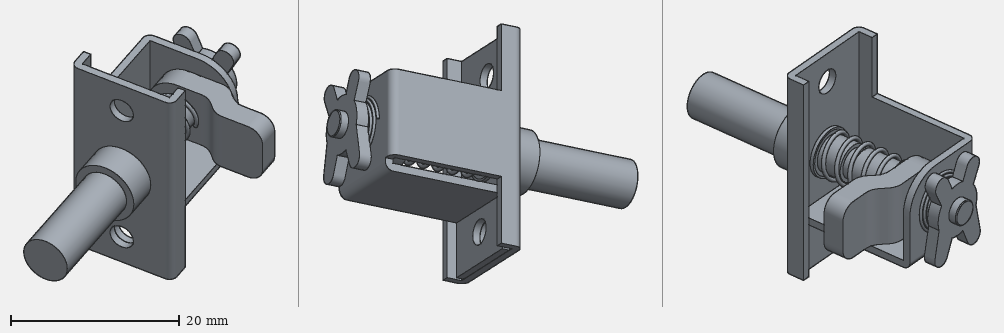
import cadquery as cq
import math


SHEET = 1.0
BRACKET_WIDTH = 14.0
BRACKET_HEIGHT = 28.0
BRACKET_DEPTH = 18.0
LIP_DEPTH = 3.0
BEND_RADIUS = 1.0
ARM_HEIGHT = 10.95
BACK_CORNER_RADIUS = 5.0
FLOOR_TOP = -6.0
TAB_CLEARANCE = 0.05
MOUNT_HOLE_DIAMETER = 3.2
MOUNT_HOLE_SPACING = 20.0

BUSHING_DIAMETER = 8.0
BUSHING_NOSE = 4.0
NECK_DIAMETER = 6.55
NECK_PROTRUSION = 0.5

PLUNGER_DIAMETER = 6.0
PLUNGER_NOSE = 18.0
STEM_DIAMETER = 5.0
GROOVE_DIAMETER = 4.0
GROOVE_START = 4.95
GROOVE_WIDTH = 1.55
COLLAR_WIDTH = 1.0
TAIL_DIAMETER = 3.3
TAIL_END = 22.0
TAIL_CHAMFER = 0.1

LEVER_WIDTH = 8.0
LEVER_THICKNESS = 2.9
LEVER_REACH = 13.0
LEVER_OFFSET = 2.15
LEVER_BEND_CENTER = 5.95
LEVER_BEND_ANGLE = 45.0
LEVER_BEND_RADIUS = 2.5
LEVER_CORNER_RADIUS = 2.0

SPRING_WIRE = 0.5
SPRING_OUTER_DIAMETER = 6.25
SPRING_PITCH = 2.0

CONE_WIRE = 0.35
CONE_LARGE_DIAMETER = 8.3
CONE_SMALL_DIAMETER = 5.7
CONE_TURNS = 3.5

KNOB_HUB_DIAMETER = 7.35
KNOB_THICKNESS = 1.6
KNOB_FRONT = 19.3
WING_TIP_RADIUS = 1.25
UPPER_TIP_X = 2.9
UPPER_TIP_Z = 4.75
LOWER_TIP_X = 3.1
LOWER_TIP_Z = -5.25
UPPER_OUTER_ANGLE = 35.0
UPPER_INNER_ANGLE = 74.0
LOWER_OUTER_ANGLE = -18.0
LOWER_INNER_ANGLE = -74.0

BACK_INNER = BRACKET_DEPTH - SHEET
BUSHING_END = SHEET + NECK_PROTRUSION
LEVER_BACK = BACK_INNER - COLLAR_WIDTH
LEVER_FRONT = LEVER_BACK - LEVER_THICKNESS
HALF_WIDTH = BRACKET_WIDTH / 2
HALF_ARM = ARM_HEIGHT / 2


def rod(diameter, start, end):
    """Cylinder on the plunger axis between two Y positions."""
    return cq.Workplane("XZ", origin=(0, start, 0)).circle(diameter / 2).extrude(start - end)


def block(x_range, y_range, z_range):
    """Box between pairs of X, Y and Z limits."""
    size = [limits[1] - limits[0] for limits in (x_range, y_range, z_range)]
    corner = (x_range[0], y_range[0], z_range[0])
    return cq.Workplane("XY").box(*size, centered=False).translate(corner)


def make_bracket():
    full_height = (-BRACKET_HEIGHT / 2, BRACKET_HEIGHT / 2)
    arm_height = (-HALF_ARM, HALF_ARM)
    flange_width = (-HALF_ARM, HALF_ARM)
    floor_bottom = FLOOR_TOP - SHEET
    inner_x = HALF_WIDTH - SHEET

    channel = block((-HALF_WIDTH, HALF_WIDTH), (0, LIP_DEPTH), full_height)
    channel = channel.cut(block((-inner_x, inner_x), (SHEET, LIP_DEPTH), full_height))
    channel = channel.edges("|Z and <Y").fillet(BEND_RADIUS)

    back_y = (BACK_INNER, BRACKET_DEPTH)
    wall = block((-HALF_WIDTH, -inner_x), (SHEET, BRACKET_DEPTH), arm_height)
    back = block((-HALF_WIDTH, HALF_ARM), back_y, arm_height)
    back = back.edges("|Y and >X and >Z").fillet(BACK_CORNER_RADIUS)
    arm = wall.union(back).edges("|Z and >Y and <X").fillet(BEND_RADIUS)

    tab_front = SHEET + TAB_CLEARANCE
    tab_back = 2 * SHEET
    floor = block(flange_width, (tab_front, BRACKET_DEPTH), (floor_bottom, FLOOR_TOP))
    web = block(flange_width, back_y, (floor_bottom, 0))
    floor = floor.union(web).edges("|X and >Y and <Z").fillet(BEND_RADIUS)
    tab = block(flange_width, (tab_front, tab_back), (-BRACKET_HEIGHT / 2, FLOOR_TOP))
    floor = floor.union(tab)

    bracket = channel.union(arm).union(floor)
    for side in (-1, 1):
        hole = rod(MOUNT_HOLE_DIAMETER, 0, tab_back)
        bracket = bracket.cut(hole.translate((0, 0, side * MOUNT_HOLE_SPACING / 2)))
    bracket = bracket.cut(rod(NECK_DIAMETER, 0, SHEET))
    return bracket.cut(rod(TAIL_DIAMETER, BACK_INNER, BRACKET_DEPTH))


def make_bushing():
    bushing = rod(BUSHING_DIAMETER, -BUSHING_NOSE, 0).union(rod(NECK_DIAMETER, 0, BUSHING_END))
    return bushing.cut(rod(PLUNGER_DIAMETER, -BUSHING_NOSE, BUSHING_END))


def make_plunger():
    groove_end = GROOVE_START + GROOVE_WIDTH
    plunger = rod(PLUNGER_DIAMETER, -PLUNGER_NOSE, BUSHING_END)
    plunger = plunger.union(rod(STEM_DIAMETER, BUSHING_END, GROOVE_START))
    plunger = plunger.union(rod(GROOVE_DIAMETER, GROOVE_START, groove_end))
    plunger = plunger.union(rod(STEM_DIAMETER, groove_end, LEVER_BACK))
    plunger = plunger.union(rod(PLUNGER_DIAMETER, LEVER_BACK, BACK_INNER))
    tail = rod(TAIL_DIAMETER, BACK_INNER, TAIL_END).faces(">Y").chamfer(TAIL_CHAMFER)
    return plunger.union(tail)


def make_lever():
    slope = math.radians(LEVER_BEND_ANGLE)
    half_width = LEVER_WIDTH / 2
    tab_back = LEVER_BACK - LEVER_OFFSET
    tab_front = LEVER_FRONT - LEVER_OFFSET
    half_run = LEVER_OFFSET / math.tan(slope) / 2
    half_shift = LEVER_THICKNESS * math.tan(slope / 2) / 2
    back_bend = LEVER_BEND_CENTER + half_shift
    front_bend = LEVER_BEND_CENTER - half_shift

    profile = [
        (-half_width, LEVER_BACK),
        (back_bend - half_run, LEVER_BACK),
        (back_bend + half_run, tab_back),
        (LEVER_REACH, tab_back),
        (LEVER_REACH, tab_front),
        (front_bend + half_run, tab_front),
        (front_bend - half_run, LEVER_FRONT),
        (-half_width, LEVER_FRONT),
    ]
    lever = cq.Workplane("XY", origin=(0, 0, -half_width)).polyline(profile).close().extrude(LEVER_WIDTH)
    bend_zone = cq.selectors.BoxSelector(
        (front_bend - LEVER_THICKNESS, tab_front - LEVER_THICKNESS, -half_width),
        (back_bend + LEVER_THICKNESS, LEVER_BACK + LEVER_THICKNESS, half_width),
    )
    lever = lever.edges("|Z").edges(bend_zone).fillet(LEVER_BEND_RADIUS)

    tab = block((0, LEVER_REACH), (tab_front, LEVER_BACK), (-half_width, half_width))
    tab = tab.edges("|Y and >X").fillet(LEVER_CORNER_RADIUS)
    outline = tab.union(rod(LEVER_WIDTH, tab_front, LEVER_BACK))
    lever = lever.intersect(outline)
    return lever.cut(rod(STEM_DIAMETER, LEVER_FRONT, LEVER_BACK))


def make_coil(wire, start_radius, end_radius, start, end, turns):
    """Round wire wound around the Y axis, starting on the -X side and passing over +Z first."""
    height = end - start
    taper = end_radius - start_radius
    slant = math.hypot(height, taper)
    if taper:
        cone_angle = math.degrees(math.atan2(taper, height))
        path = cq.Wire.makeHelix(slant / turns, slant, start_radius, angle=cone_angle)
    else:
        path = cq.Wire.makeHelix(slant / turns, slant, start_radius)
    section = cq.Workplane("XZ", origin=(start_radius, 0, 0)).circle(wire / 2)
    coil = section.sweep(cq.Workplane(obj=path), isFrenet=True)
    coil = coil.rotate((0, 0, 0), (0, 0, 1), 180).rotate((0, 0, 0), (1, 0, 0), -90)
    return coil.translate((0, start, 0))


def make_return_spring():
    radius = (SPRING_OUTER_DIAMETER - SPRING_WIRE) / 2
    start = BUSHING_END + SPRING_WIRE / 2
    end = LEVER_FRONT - SPRING_WIRE / 2
    return make_coil(SPRING_WIRE, radius, radius, start, end, (end - start) / SPRING_PITCH)


def make_cone_spring():
    large_radius = (CONE_LARGE_DIAMETER - CONE_WIRE) / 2
    small_radius = (CONE_SMALL_DIAMETER - CONE_WIRE) / 2
    start = BRACKET_DEPTH + CONE_WIRE / 2
    end = KNOB_FRONT - CONE_WIRE / 2
    return make_coil(CONE_WIRE, large_radius, small_radius, start, end, CONE_TURNS)


def hub_point(angle):
    """Point on the hub rim, as X and Z."""
    turn = math.radians(angle)
    return (KNOB_HUB_DIAMETER / 2 * math.cos(turn), KNOB_HUB_DIAMETER / 2 * math.sin(turn))


def tangent_point(root, side):
    """Point where a line from the root touches a wing tip circle centered on the origin."""
    heading = math.atan2(root[1], root[0])
    turn = heading + side * math.acos(WING_TIP_RADIUS / math.hypot(*root))
    return (WING_TIP_RADIUS * math.cos(turn), WING_TIP_RADIUS * math.sin(turn))


def make_wing(tip, outer_root, inner_root):
    """Arm with straight sides that run from two points on the hub rim into a round tip."""
    outer_offset = (outer_root[0] - tip[0], outer_root[1] - tip[1])
    inner_offset = (inner_root[0] - tip[0], inner_root[1] - tip[1])
    side = math.copysign(1, outer_root[0] * inner_root[1] - outer_root[1] * inner_root[0])
    outer_touch = tangent_point(outer_offset, side)
    inner_touch = tangent_point(inner_offset, -side)
    reach = math.hypot(*tip)
    crown = (WING_TIP_RADIUS * tip[0] / reach, WING_TIP_RADIUS * tip[1] / reach)

    def placed(point):
        return (tip[0] + point[0], tip[1] + point[1])

    outline = (
        cq.Workplane("XZ", origin=(0, KNOB_FRONT, 0))
        .moveTo(0, 0)
        .lineTo(*outer_root)
        .lineTo(*placed(outer_touch))
        .threePointArc(placed(crown), placed(inner_touch))
        .lineTo(*inner_root)
        .close()
    )
    return outline.extrude(-KNOB_THICKNESS)


def make_knob():
    back = KNOB_FRONT + KNOB_THICKNESS
    upper_roots = (hub_point(UPPER_OUTER_ANGLE), hub_point(UPPER_INNER_ANGLE))
    lower_roots = (hub_point(LOWER_OUTER_ANGLE), hub_point(LOWER_INNER_ANGLE))
    upper = make_wing((UPPER_TIP_X, UPPER_TIP_Z), *upper_roots)
    lower = make_wing((LOWER_TIP_X, LOWER_TIP_Z), *lower_roots)
    knob = rod(KNOB_HUB_DIAMETER, KNOB_FRONT, back)
    for wing in (upper, lower):
        knob = knob.union(wing).union(wing.mirror("YZ"))
    return knob.cut(rod(TAIL_DIAMETER, KNOB_FRONT, back))


bracket = make_bracket()
bushing = make_bushing()
plunger = make_plunger()
lever = make_lever()
return_spring = make_return_spring()
cone_spring = make_cone_spring()
knob = make_knob()

bodies = [bracket, bushing, plunger, lever, return_spring, cone_spring, knob]
result = cq.Compound.makeCompound([body.val() for body in bodies])